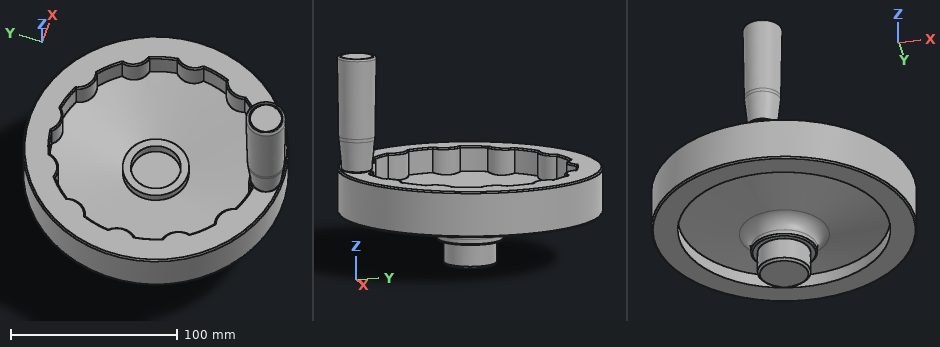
import cadquery as cq
import math

WHEEL_RADIUS = 160.0 / 2
WHEEL_BOTTOM = 31.6
WHEEL_TOP = 59.6
EDGE_CHAMFER = 1.0

DISH_RADIUS = 64.0
DISH_RIM_Z = 44.3
DISH_CENTRE_Z = 32.4
DISH_CHAMFER = 1.0
LOBE_COUNT = 12
LOBE_RADIUS = 12.0
LOBE_TIP_RADIUS = 60.0

HUB_RADIUS = 40.0 / 2
HUB_TOP = 38.0
HUB_BOTTOM = 15.0
HUB_FILLET = 10.0
HUB_FILLET_START_Z = 19.0
RECESS_RADIUS = 15.0
RECESS_DEPTH = 6.3
STUB_RADIUS = 16.0
STUB_CHAMFER = 1.5
WEB_SLOPE = math.radians(17)

OVERALL_LENGTH = 162.1
HANDLE_TOP = 130.5
HANDLE_BOTTOM = 60.6
HANDLE_TOP_RADIUS = 12.0
HANDLE_OFFSET = OVERALL_LENGTH - WHEEL_RADIUS - HANDLE_TOP_RADIUS
HANDLE_BOTTOM_RADIUS = 9.0
BAND_TOP_Z = 81.7
BAND_TOP_RADIUS = 11.2
BAND_BOTTOM_Z = 79.6
BAND_BOTTOM_RADIUS = 11.0
HANDLE_TOP_FILLET = 1.0
HANDLE_BOTTOM_CHAMFER = 0.5
GROOVE_OUTER_RADIUS = 10.0
GROOVE_INNER_RADIUS = 9.5
GROOVE_DEPTH = 1.0
SPINDLE_RADIUS = 5.3


def make_wheel_blank():
    """Rim, web, hub and stub turned as one, without the dish."""
    fillet_centre_r = HUB_RADIUS + HUB_FILLET
    fillet_end_r = fillet_centre_r - HUB_FILLET * math.sin(WEB_SLOPE)
    fillet_end_z = HUB_FILLET_START_Z + HUB_FILLET * math.cos(WEB_SLOPE)
    fillet_mid_angle = (math.pi + math.pi / 2 + WEB_SLOPE) / 2
    fillet_mid_r = fillet_centre_r + HUB_FILLET * math.cos(fillet_mid_angle)
    fillet_mid_z = HUB_FILLET_START_Z + HUB_FILLET * math.sin(fillet_mid_angle)
    web_end_z = fillet_end_z + (DISH_RADIUS - fillet_end_r) * math.tan(WEB_SLOPE)
    return (
        cq.Workplane("XZ")
        .moveTo(0, 0)
        .lineTo(STUB_RADIUS - STUB_CHAMFER, 0)
        .lineTo(STUB_RADIUS, STUB_CHAMFER)
        .lineTo(STUB_RADIUS, HUB_BOTTOM)
        .lineTo(HUB_RADIUS - EDGE_CHAMFER, HUB_BOTTOM)
        .lineTo(HUB_RADIUS, HUB_BOTTOM + EDGE_CHAMFER)
        .lineTo(HUB_RADIUS, HUB_FILLET_START_Z)
        .threePointArc((fillet_mid_r, fillet_mid_z), (fillet_end_r, fillet_end_z))
        .lineTo(DISH_RADIUS, web_end_z)
        .lineTo(DISH_RADIUS, WHEEL_BOTTOM)
        .lineTo(WHEEL_RADIUS - EDGE_CHAMFER, WHEEL_BOTTOM)
        .lineTo(WHEEL_RADIUS, WHEEL_BOTTOM + EDGE_CHAMFER)
        .lineTo(WHEEL_RADIUS, WHEEL_TOP - EDGE_CHAMFER)
        .lineTo(WHEEL_RADIUS - EDGE_CHAMFER, WHEEL_TOP)
        .lineTo(0, WHEEL_TOP)
        .close()
        .revolve(360, (0, 0, 0), (0, 1, 0))
    )


def make_lobes():
    """Round lobes left standing along the dish wall, chamfered at the top."""
    lobes = (
        cq.Workplane("XY")
        .workplane(offset=DISH_CENTRE_Z)
        .polarArray(LOBE_TIP_RADIUS + LOBE_RADIUS, 0, 360, LOBE_COUNT)
        .circle(LOBE_RADIUS)
        .extrude(WHEEL_TOP - DISH_CENTRE_Z)
    )
    return lobes.faces(">Z").edges().chamfer(DISH_CHAMFER)


def make_dish():
    """Volume removed from the wheel: a conical floor and a chamfered wall, less the lobes."""
    dish = (
        cq.Workplane("XZ")
        .moveTo(HUB_RADIUS, DISH_CENTRE_Z)
        .lineTo(DISH_RADIUS, DISH_RIM_Z)
        .lineTo(DISH_RADIUS, WHEEL_TOP - DISH_CHAMFER)
        .lineTo(DISH_RADIUS + DISH_CHAMFER, WHEEL_TOP)
        .lineTo(0, WHEEL_TOP)
        .lineTo(0, HUB_TOP)
        .lineTo(HUB_RADIUS, HUB_TOP)
        .close()
        .revolve(360, (0, 0, 0), (0, 1, 0))
    )
    return dish.cut(make_lobes())


def make_hub_recess():
    return (
        cq.Workplane("XY")
        .workplane(offset=HUB_TOP - RECESS_DEPTH)
        .circle(RECESS_RADIUS)
        .extrude(RECESS_DEPTH)
    )


def make_wheel():
    return make_wheel_blank().cut(make_dish()).cut(make_hub_recess())


def make_handle():
    """Tapered grip with its spindle, standing on the rim."""
    grip = (
        cq.Workplane("XZ")
        .moveTo(0, HANDLE_BOTTOM)
        .lineTo(HANDLE_BOTTOM_RADIUS, HANDLE_BOTTOM)
        .lineTo(BAND_BOTTOM_RADIUS, BAND_BOTTOM_Z)
        .lineTo(BAND_TOP_RADIUS, BAND_TOP_Z)
        .lineTo(HANDLE_TOP_RADIUS, HANDLE_TOP)
        .lineTo(0, HANDLE_TOP)
        .close()
        .revolve(360, (0, 0, 0), (0, 1, 0))
    )
    grip = grip.faces(">Z").edges().fillet(HANDLE_TOP_FILLET)
    grip = grip.faces("<Z").edges().chamfer(HANDLE_BOTTOM_CHAMFER)
    groove = (
        cq.Workplane("XY")
        .workplane(offset=HANDLE_TOP - GROOVE_DEPTH)
        .circle(GROOVE_OUTER_RADIUS)
        .circle(GROOVE_INNER_RADIUS)
        .extrude(GROOVE_DEPTH)
    )
    spindle = (
        cq.Workplane("XY")
        .workplane(offset=WHEEL_TOP)
        .circle(SPINDLE_RADIUS)
        .extrude(HANDLE_BOTTOM - WHEEL_TOP)
    )
    return grip.cut(groove).union(spindle).translate((0, -HANDLE_OFFSET, 0))


wheel = make_wheel()
handle = make_handle()
result = cq.Compound.makeCompound([wheel.val(), handle.val()])